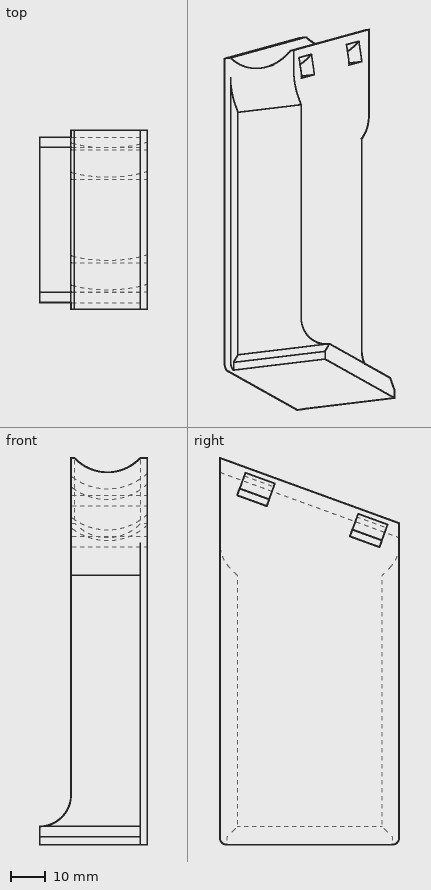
import cadquery as cq
import math

DEPTH = 31.0
WIDTH = 51.6
HEIGHT = 111.28
TOP_ANGLE = 20.0

PLATE_THICKNESS = 2.0
PLATE_CORNER_RADIUS = 2.0

BODY_FRONT_X = 9.0
NECK_WIDTH = 41.6
NECK_TOP_Z = 77.5
SHOULDER_RADIUS = 10.0

FOOT_FLARE = 3.0
FOOT_TOP_Z = 5.3
FOOT_FILLET_RADIUS = BODY_FRONT_X

CRADLE_X = 19.5
CRADLE_RADIUS = 13.5
CRADLE_DEPTH = 3.9

SLOT_WIDTH = 9.0
SLOT_FLOOR_DEPTH = 8.4
SLOT_ROOF_RADIUS = 16.0
SLOT_CENTRES = (7.5, 42.0)

HALF_WIDTH = WIDTH / 2
HALF_NECK = NECK_WIDTH / 2
HALF_FOOT = HALF_NECK + FOOT_FLARE
FOOT_EDGE_Z = FOOT_TOP_Z - FOOT_FLARE
PLATE_FRONT_X = DEPTH - PLATE_THICKNESS
TOP_SLOPE = math.radians(TOP_ANGLE)
LOW_TOP_Z = HEIGHT - WIDTH * math.tan(TOP_SLOPE)
SLOPE_LENGTH = WIDTH / math.cos(TOP_SLOPE)
CRADLE_AXIS_HEIGHT = CRADLE_RADIUS - CRADLE_DEPTH

SHOULDER_ANGLE = math.radians(45)
SHOULDER_STEP = HALF_WIDTH - HALF_NECK
ARC_END_INSET = SHOULDER_RADIUS * (1 - math.cos(SHOULDER_ANGLE))
ARC_END_Z = NECK_TOP_Z + SHOULDER_STEP - ARC_END_INSET
ARC_START_Z = ARC_END_Z + SHOULDER_RADIUS * math.sin(SHOULDER_ANGLE)
ARC_END_Y = HALF_WIDTH - ARC_END_INSET
ARC_MID_Y = HALF_WIDTH - SHOULDER_RADIUS * (1 - math.cos(SHOULDER_ANGLE / 2))
ARC_MID_Z = ARC_START_Z - SHOULDER_RADIUS * math.sin(SHOULDER_ANGLE / 2)


def make_plate():
    """Full-width backing plate with a sloped top and rounded bottom corners."""
    outline = (
        cq.Workplane("YZ", origin=(PLATE_FRONT_X, 0, 0))
        .moveTo(-HALF_WIDTH, 0)
        .lineTo(HALF_WIDTH, 0)
        .lineTo(HALF_WIDTH, LOW_TOP_Z)
        .lineTo(-HALF_WIDTH, HEIGHT)
        .close()
    )
    plate = outline.extrude(PLATE_THICKNESS)
    return plate.edges("|X and <Z").fillet(PLATE_CORNER_RADIUS)


def make_body():
    """Necked body with shoulders at the top and a flared foot at the bottom."""
    outline = (
        cq.Workplane("YZ")
        .moveTo(-HALF_FOOT, 0)
        .lineTo(HALF_FOOT, 0)
        .lineTo(HALF_FOOT, FOOT_EDGE_Z)
        .lineTo(HALF_NECK, FOOT_TOP_Z)
        .lineTo(HALF_NECK, NECK_TOP_Z)
        .lineTo(ARC_END_Y, ARC_END_Z)
        .threePointArc((ARC_MID_Y, ARC_MID_Z), (HALF_WIDTH, ARC_START_Z))
        .lineTo(HALF_WIDTH, LOW_TOP_Z)
        .lineTo(-HALF_WIDTH, HEIGHT)
        .lineTo(-HALF_WIDTH, ARC_START_Z)
        .threePointArc((-ARC_MID_Y, ARC_MID_Z), (-ARC_END_Y, ARC_END_Z))
        .lineTo(-HALF_NECK, NECK_TOP_Z)
        .lineTo(-HALF_NECK, FOOT_TOP_Z)
        .lineTo(-HALF_FOOT, FOOT_EDGE_Z)
        .close()
    )
    return outline.extrude(PLATE_FRONT_X).cut(make_front_relief())


def make_front_relief():
    """Space in front of the body, ending in a concave sweep onto the foot."""
    fillet_centre_z = FOOT_TOP_Z + FOOT_FILLET_RADIUS
    arc_mid_reach = FOOT_FILLET_RADIUS * math.sin(math.radians(45))
    return (
        cq.Workplane("XZ")
        .moveTo(0, FOOT_TOP_Z)
        .threePointArc((arc_mid_reach, fillet_centre_z - arc_mid_reach), (BODY_FRONT_X, fillet_centre_z))
        .lineTo(BODY_FRONT_X, HEIGHT)
        .lineTo(0, HEIGHT)
        .close()
        .extrude(HALF_WIDTH, both=True)
    )


def place_on_slope(shape):
    """Move a shape built along -Y from the origin onto the sloped top face."""
    tilted = shape.rotate((0, 0, 0), (1, 0, 0), -TOP_ANGLE)
    return tilted.translate((0, HALF_WIDTH, LOW_TOP_Z))


def cylinder_along_slope(radius, start, length):
    """Cylinder about the cradle axis, before tilting onto the slope."""
    centre = (CRADLE_X, -start, CRADLE_AXIS_HEIGHT)
    return cq.Workplane("XZ", origin=centre).circle(radius).extrude(length)


def make_cradle():
    """Cylinder that hollows the sloped top face from side to side."""
    overrun = CRADLE_RADIUS
    return place_on_slope(cylinder_along_slope(CRADLE_RADIUS, -overrun, SLOPE_LENGTH + 2 * overrun))


def make_slot(slope_position):
    """Strap slot through the depth with a flat floor and an arched roof."""
    start = slope_position - SLOT_WIDTH / 2
    floor = (0, -start - SLOT_WIDTH, -SLOT_FLOOR_DEPTH)
    block = cq.Workplane("XY", origin=floor).box(DEPTH, SLOT_WIDTH, SLOT_FLOOR_DEPTH, centered=False)
    return place_on_slope(block.cut(cylinder_along_slope(SLOT_ROOF_RADIUS, start, SLOT_WIDTH)))


result = make_plate().union(make_body()).cut(make_cradle())
for slot_centre in SLOT_CENTRES:
    result = result.cut(make_slot(slot_centre))